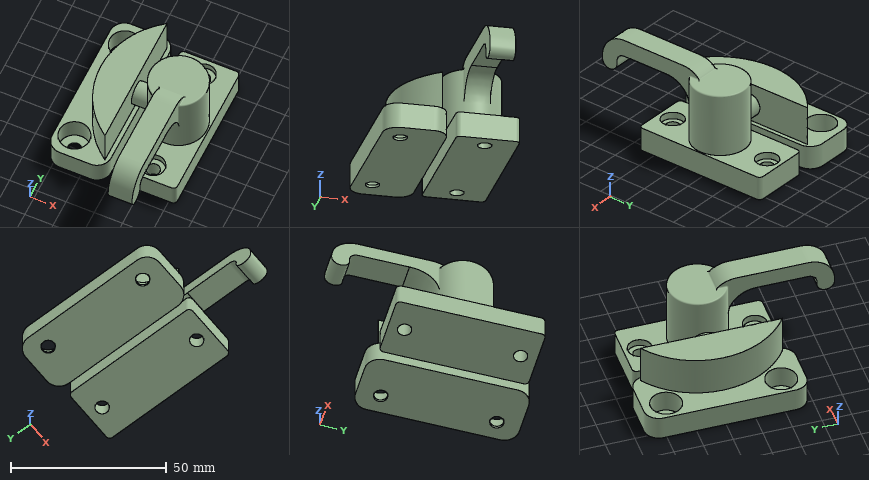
import cadquery as cq
import math


plate_width = 21.0
plate_height = 8.55
plate_gap = 3.0
screw_hole_diameter = 4.6

keeper_length = 54.95
keeper_corner_radius = 5.1
keeper_x = -(plate_width + plate_gap)
keeper_hole_x = keeper_x - plate_width / 2 + 6.6
keeper_hole_spacing = 38.85
keeper_bore_diameter = 10.6
keeper_bore_depth = 7.7
block_face_x = -15.0
block_length = 48.0
block_bulge = 12.5
block_top = 22.5

lock_length = 49.95
lock_corner_radius = 1.5
lock_hole_spacing = 38.85
lock_bore_diameter = 8.1
lock_bore_depth = 2.5
post_radius = 10.0
post_top = 31.0
post_edge_radius = 0.5
bolt_diameter = 8.05
bolt_y = 0.4
bolt_z = 14.6

lever_width = 8.55
lever_thickness = 6.0
lever_top = 34.0
lever_end_y = -45.0
lever_bend_radius = 9.0
lever_heel_y = -11.7
lever_tip_z = 20.9
lever_underside = lever_top - lever_thickness
gusset_radius = lever_bend_radius
gusset_center_r = post_radius + gusset_radius
gusset_bottom = lever_underside - gusset_radius
joint_fillet = 0.5


def plate(x, length, corner_radius):
    """Upright-cornered plate centred on the X axis."""
    return (
        cq.Workplane("XY")
        .center(x, 0)
        .rect(plate_width, length)
        .extrude(plate_height)
        .edges("|Z")
        .fillet(corner_radius)
    )


def drill_screw_holes(body, x, spacing, bore_diameter, bore_depth):
    """Two counterbored screw holes, entered from the plate's top face."""
    points = [(x, -spacing / 2), (x, spacing / 2)]
    through = (
        cq.Workplane("XY").pushPoints(points)
        .circle(screw_hole_diameter / 2).extrude(plate_height)
    )
    bores = (
        cq.Workplane("XY").workplane(offset=plate_height - bore_depth).pushPoints(points)
        .circle(bore_diameter / 2).extrude(bore_depth)
    )
    return body.cut(through).cut(bores)


def make_keeper():
    block = (
        cq.Workplane("XY")
        .moveTo(block_face_x, -block_length / 2)
        .threePointArc((block_face_x - block_bulge, 0), (block_face_x, block_length / 2))
        .close()
        .extrude(block_top)
    )
    body = plate(keeper_x, keeper_length, keeper_corner_radius).union(block)
    return drill_screw_holes(
        body, keeper_hole_x, keeper_hole_spacing, keeper_bore_diameter, keeper_bore_depth
    )


def make_post():
    return (
        cq.Workplane("XY").circle(post_radius).extrude(post_top)
        .faces(">Z").edges().fillet(post_edge_radius)
    )


def make_lever():
    """Hooked lever with a square gusset block under its heel."""
    diagonal = math.sqrt(0.5)
    inner_radius = lever_bend_radius - lever_thickness
    tip_radius = lever_thickness / 2
    bend_y = lever_end_y + lever_bend_radius
    bend_z = lever_top - lever_bend_radius
    hook_inner_y = lever_end_y + lever_thickness
    tip_center_z = lever_tip_z + tip_radius
    heel_y = lever_heel_y + lever_bend_radius

    return (
        cq.Workplane("YZ")
        .moveTo(bend_y, lever_top)
        .lineTo(lever_heel_y, lever_top)
        .threePointArc(
            (lever_heel_y + lever_bend_radius * diagonal, bend_z + lever_bend_radius * diagonal),
            (heel_y, bend_z),
        )
        .lineTo(heel_y, gusset_bottom)
        .lineTo(-gusset_center_r, gusset_bottom)
        .lineTo(-gusset_center_r, lever_underside)
        .lineTo(bend_y, lever_underside)
        .threePointArc(
            (bend_y - inner_radius * diagonal, bend_z + inner_radius * diagonal),
            (hook_inner_y, bend_z),
        )
        .lineTo(hook_inner_y, tip_center_z)
        .threePointArc((lever_end_y + tip_radius, lever_tip_z), (lever_end_y, tip_center_z))
        .lineTo(lever_end_y, bend_z)
        .threePointArc(
            (bend_y - lever_bend_radius * diagonal, bend_z + lever_bend_radius * diagonal),
            (bend_y, lever_top),
        )
        .close()
        .extrude(lever_width / 2, both=True)
    )


def blend_lever_joint(body):
    """Small fillet where the lever's sides and heel meet the post."""
    half = lever_width / 2
    tolerance = 0.1
    wall_y = -math.sqrt(post_radius**2 - half**2)
    joint = cq.selectors.BoxSelector(
        (-half - tolerance, wall_y - tolerance, gusset_bottom),
        (half + tolerance, 0, post_top + tolerance),
        boundingbox=True,
    )
    return body.edges(joint).fillet(joint_fillet)


def hollow_gusset(body):
    """Round the gusset with a ring that meets the post wall and lever underside tangentially."""
    ring = cq.Workplane("XY").add(
        cq.Solid.makeTorus(gusset_center_r, gusset_radius, cq.Vector(0, 0, gusset_bottom))
    )
    return body.cut(ring)


def make_bolt():
    """Round bolt, slightly off the post axis, from inside the post to the flat face of the keeper block."""
    return (
        cq.Workplane("YZ", origin=(block_face_x, bolt_y, bolt_z))
        .circle(bolt_diameter / 2)
        .extrude(-block_face_x)
    )


def make_lock():
    handle = hollow_gusset(blend_lever_joint(make_post().union(make_lever())))
    lock_plate = drill_screw_holes(
        plate(0, lock_length, lock_corner_radius),
        0, lock_hole_spacing, lock_bore_diameter, lock_bore_depth,
    )
    return lock_plate.union(handle).union(make_bolt())


keeper = make_keeper()
lock = make_lock()

result = cq.Compound.makeCompound([keeper.val(), lock.val()])